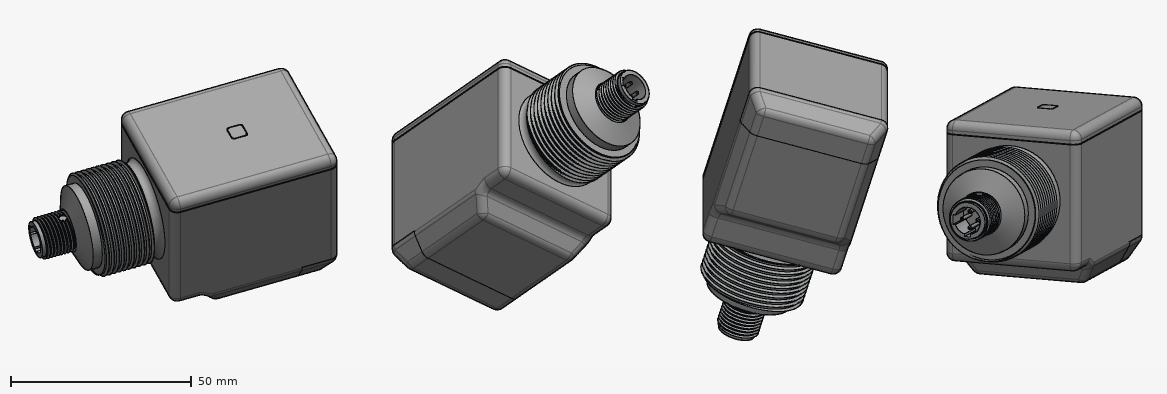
import cadquery as cq
import math


block_width = 40.0
block_length = 50.0
half_width = block_width / 2
edge_radius = 2.5

foot_drop = 6.08
foot_length = 40.0
foot_slope = 30.0
foot_bottom = -half_width - foot_drop

lid_height = 3.75
seam_width = 0.2
seam_depth = 0.1
seam_z = half_width - lid_height

window_pocket_size = 4.75
window_gap = 0.2
window_depth = 1.0
window_corner_radius = 0.8
window_y = block_length - 22.6

corner_length = 11.2
corner_top = -19.0

neck_radius = 13.6
neck_foot_radius = 14.6
mount_start = 3.0
mount_end = 17.75
mount_pitch = 1.5
mount_root = 14.2
mount_crest = 15.0
mount_crest_offset = 3.7

plug_radius = 12.2
plug_cylinder_end = 20.45
plug_end = 23.1
plug_tip_radius = 6.2

insert_start = plug_end
insert_thread_end = 31.65
insert_end = 32.79
insert_pitch = 1.0
insert_root = 5.4
insert_crest = 6.0
insert_tip_radius = 5.2
insert_crest_offset = 24.1
bore_radius = 3.85
bore_depth = 8.0
bottom_key_width = 1.7
bottom_key_reach = 4.5
side_key_width = 2.7
side_key_reach = 4.3
mark_diameter = 2.3
mark_offset = 24.6
mark_floor = 5.2

pin_radius = 0.5
pin_circle_radius = 2.3
pin_recess = 1.4
pin_tip_chamfer = 0.3
pin_count = 4

flank_half_angle = 30.0
root_embed = 0.15

cut_margin = 1.0


def revolve_profile(profile):
    """Turn a profile drawn as (radius, -distance) in the XY plane about the Y axis."""
    return profile.close().revolve(360, (0, 0, 0), (0, 1, 0))


def cylinder(radius, start, end):
    """Cylinder on the connector axis between two distances from the front wall."""
    return cq.Workplane("XZ", origin=(0, -start, 0)).circle(radius).extrude(end - start)


def thread_ridge(root, crest, pitch, start, end, crest_offset):
    """Right-hand V ridge, trimmed flat at both ends, cresting on +Z at crest_offset."""
    turns = math.ceil((end - start) / pitch) + 2
    first = crest_offset - pitch * math.ceil((crest_offset - start) / pitch + 1)
    base_radius = root - root_embed
    half_base = (crest - base_radius) * math.tan(math.radians(flank_half_angle))
    helix = cq.Wire.makeHelix(pitch, turns * pitch, base_radius)
    ridge = (
        cq.Workplane("XZ")
        .moveTo(base_radius, -half_base)
        .lineTo(crest, 0)
        .lineTo(base_radius, half_base)
        .close()
        .sweep(cq.Workplane(obj=helix), isFrenet=True)
    )
    ridge = ridge.rotate((0, 0, 0), (1, 0, 0), 90)
    ridge = ridge.rotate((0, 0, 0), (0, 1, 0), -90)
    ridge = ridge.translate((0, -first, 0))
    sleeve = cylinder(crest + cut_margin, start, end).cut(cylinder(root - 2 * root_embed, start, end))
    return ridge.intersect(sleeve)


def enclosure():
    """Block with the tapered foot below it, every edge and the foot's inner corner rounded."""
    block = cq.Workplane("XY", origin=(0, block_length / 2, 0)).box(
        block_width, block_length, block_width
    )
    foot = (
        cq.Workplane("XY", origin=(0, block_length - foot_length / 2, -half_width))
        .rect(block_width, foot_length)
        .extrude(-foot_drop, taper=foot_slope)
    )
    return block.union(foot).edges().fillet(edge_radius)


def space_above(z):
    """Region that holds everything of the enclosure above a height."""
    return (
        cq.Workplane("XY", origin=(0, block_length / 2, z))
        .rect(block_width + 2 * cut_margin, block_length + 2 * cut_margin)
        .extrude(block_width)
    )


def rear_bottom_space():
    """Region that holds the lower rear edge of the enclosure."""
    return cq.Workplane("XY").box(
        block_width + 2 * cut_margin,
        corner_length,
        corner_top - foot_bottom,
        centered=(True, False, False),
    ).translate((0, block_length - corner_length, foot_bottom))


def window_block(size):
    """Rounded square block flush with the lid top."""
    return (
        cq.Workplane("XY", origin=(0, window_y, half_width))
        .rect(size, size)
        .extrude(-window_depth)
        .edges("|Z")
        .fillet(window_corner_radius)
    )


def seam_groove():
    """Shallow groove around the lower rim of the lid."""
    core = (
        cq.Workplane("XY", origin=(0, block_length / 2, seam_z))
        .rect(block_width - 2 * seam_depth, block_length - 2 * seam_depth)
        .extrude(seam_width)
        .edges("|Z")
        .fillet(edge_radius - seam_depth)
    )
    rim = (
        cq.Workplane("XY", origin=(0, block_length / 2, seam_z))
        .rect(block_width + 2 * cut_margin, block_length + 2 * cut_margin)
        .extrude(seam_width)
    )
    return rim.cut(core)


def make_lid():
    lid = enclosure().intersect(space_above(seam_z))
    return lid.cut(seam_groove()).cut(window_block(window_pocket_size))


def make_window():
    return window_block(window_pocket_size - 2 * window_gap)


def make_corner_indicator():
    return enclosure().intersect(rear_bottom_space())


def make_housing():
    """Enclosure below the lid, with the necked M30 spigot on its front wall."""
    neck = revolve_profile(
        cq.Workplane("XY")
        .moveTo(0, edge_radius)
        .lineTo(neck_foot_radius, edge_radius)
        .lineTo(neck_foot_radius, 0)
        .threePointArc((neck_radius, -mount_start / 2), (mount_root, -mount_start))
        .lineTo(0, -mount_start)
    )
    threaded_end = cylinder(mount_root, mount_start, mount_end)
    ridge = thread_ridge(
        mount_root, mount_crest, mount_pitch, mount_start, mount_end, mount_crest_offset
    )
    shell = enclosure().cut(space_above(seam_z)).cut(rear_bottom_space())
    return shell.union(neck).union(threaded_end.union(ridge))


def make_plug():
    """End plug: a cylinder that tapers down to the connector insert."""
    return revolve_profile(
        cq.Workplane("XY")
        .moveTo(0, -mount_end)
        .lineTo(plug_radius, -mount_end)
        .lineTo(plug_radius, -plug_cylinder_end)
        .lineTo(plug_tip_radius, -plug_end)
        .lineTo(0, -plug_end)
    )


def keyed_bore():
    """Contact cavity with a key slot at the bottom and a wide shallow one on the -X side."""
    bore_start = insert_end - bore_depth
    bottom_key = cq.Workplane("XY").box(
        bottom_key_width, bore_depth, bottom_key_reach, centered=(True, False, False)
    ).translate((0, -insert_end, -bottom_key_reach))
    side_key = cq.Workplane("XY").box(
        side_key_reach, bore_depth, side_key_width, centered=(False, False, True)
    ).translate((-side_key_reach, -insert_end, 0))
    return cylinder(bore_radius, bore_start, insert_end).union(bottom_key).union(side_key)


def make_insert():
    """M12 connector insert with its contact cavity and a flat round orientation mark on top."""
    core = cylinder(insert_root, insert_start, insert_thread_end)
    tip = cylinder(insert_tip_radius, insert_thread_end, insert_end)
    ridge = thread_ridge(
        insert_root, insert_crest, insert_pitch, insert_start, insert_thread_end, insert_crest_offset
    )
    mark = (
        cq.Workplane("XY", origin=(0, -mark_offset, mark_floor))
        .circle(mark_diameter / 2)
        .extrude(insert_crest)
    )
    return core.union(tip).union(ridge).cut(keyed_bore()).cut(mark)


def make_pin(angle):
    """Contact pin standing on the floor of the cavity."""
    length = bore_depth - pin_recess
    return (
        cq.Workplane("XZ", origin=(0, bore_depth - insert_end, 0))
        .center(
            pin_circle_radius * math.cos(math.radians(angle)),
            pin_circle_radius * math.sin(math.radians(angle)),
        )
        .circle(pin_radius)
        .extrude(length)
        .faces("<Y")
        .chamfer(pin_tip_chamfer)
    )


housing = make_housing().solids()
lid = make_lid().solids()
window = make_window().solids()
corner_indicator = make_corner_indicator().solids()
plug = make_plug().solids()
insert = make_insert().solids()
pins = [make_pin(i * 360 / pin_count).solids() for i in range(pin_count)]

result = cq.Compound.makeCompound(
    [
        housing.val(),
        lid.val(),
        window.val(),
        corner_indicator.val(),
        plug.val(),
        insert.val(),
        *[pin.val() for pin in pins],
    ]
)